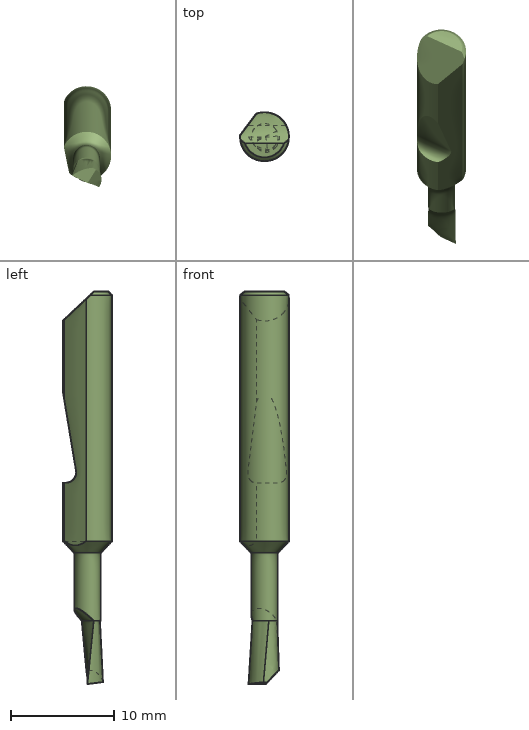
import cadquery as cq
import math

length = 38.1
shank_diameter = 4.75
shank_radius = shank_diameter / 2
shank_bottom = 13.85
end_chamfer = 0.4
neck_radius = 1.3
neck_top = 12.73
neck_bottom = 6.17

flat_angle = 143.0
flat_distance = 2.0

slope_start_y = -0.65
slope_drop = 2.85

notch_top = 28.27
notch_floor = 19.55
notch_depth = 1.45
notch_corner_radius = 1.0

step_turn = 26.0
step_lean = 43.0

tip_top_corners = [(-1.2, -0.6), (0.42, -1.22), (1.15, 0.57)]
tip_bottom_corners = [(-1.55, 0.0), (-0.1, -1.52), (1.5, 0.0)]
flank_bulge = 0.15
tip_back_radius_bottom = 1.52
heel_corner_x = 0.1
heel_corner_height = 1.45
end_relief = 0.2

cutter_size = 15.25


def make_body():
    """Chamfered shank, cone and neck as one revolved profile."""
    profile = [
        (0, neck_bottom),
        (neck_radius, neck_bottom),
        (neck_radius, neck_top),
        (shank_radius, shank_bottom),
        (shank_radius, length - end_chamfer),
        (shank_radius - end_chamfer, length),
        (0, length),
    ]
    return cq.Workplane("XZ").polyline(profile).close().revolve(360, (0, 0), (0, 1))


def through_x(points):
    """Extrude a closed YZ outline through the whole part along X."""
    return cq.Workplane("YZ").polyline(points).close().extrude(cutter_size / 2, both=True)


def flat_cutter():
    block = cq.Workplane("XY").box(cutter_size, cutter_size, length, centered=(False, True, False))
    block = block.translate((flat_distance, 0, neck_top))
    return block.rotate((0, 0, 0), (0, 0, 1), flat_angle)


def slope_cutter():
    return through_x([
        (slope_start_y, length),
        (shank_radius, length - slope_drop),
        (shank_radius, length),
    ])


def notch_cutter():
    ramp_foot_y = shank_radius - notch_depth
    open_y = 2 * shank_radius
    notch = through_x([
        (shank_radius, notch_top),
        (ramp_foot_y, notch_floor),
        (open_y, notch_floor),
        (open_y, notch_top),
    ])
    return notch.edges("|X").edges("<Y").fillet(notch_corner_radius)


def step_cutter():
    """Leaning face that runs out at the top of the rake face."""
    block = cq.Workplane("XY").box(cutter_size, cutter_size, cutter_size, centered=(True, True, False))
    block = block.translate((0, 0, -cutter_size))
    block = block.rotate((0, 0, 0), (1, 0, 0), step_lean)
    block = block.rotate((0, 0, 0), (0, 0, 1), step_turn)
    return block.translate((0, 0, neck_bottom))


def tip_section(plane, corners, back_radius):
    """Straight rake edge, slightly bulged flank and round back."""
    cutting, flank_end, heel = corners
    chord_x = flank_end[0] - cutting[0]
    chord_y = flank_end[1] - cutting[1]
    chord = math.hypot(chord_x, chord_y)
    flank_middle = (
        (cutting[0] + flank_end[0]) / 2 + flank_bulge * chord_y / chord,
        (cutting[1] + flank_end[1]) / 2 - flank_bulge * chord_x / chord,
    )
    start_angle = math.atan2(flank_end[1], flank_end[0])
    end_angle = math.atan2(heel[1], heel[0])
    middle_angle = (start_angle + end_angle) / 2
    back_middle = (back_radius * math.cos(middle_angle), back_radius * math.sin(middle_angle))
    outline = plane.moveTo(*cutting).threePointArc(flank_middle, flank_end)
    return outline.threePointArc(back_middle, heel).close()


def make_tip():
    """Twisted half-round tip with a bevelled heel and a relieved end face."""
    bottom = tip_section(cq.Workplane("XY"), tip_bottom_corners, tip_back_radius_bottom)
    top_plane = bottom.workplane(offset=neck_bottom)
    tip = tip_section(top_plane, tip_top_corners, neck_radius).loft(ruled=True)
    heel_x = tip_bottom_corners[2][0]
    outer_x = 2 * heel_x - heel_corner_x
    heel = (
        cq.Workplane("XZ")
        .polyline([(heel_corner_x, 0), (outer_x, 2 * heel_corner_height), (outer_x, 0)])
        .close()
        .extrude(cutter_size / 2, both=True)
    )
    relief_y = 2 * tip_back_radius_bottom
    relief = through_x([(0, 0), (-relief_y, 2 * end_relief), (-relief_y, 0)])
    return tip.cut(heel).cut(relief)


body = make_body().cut(flat_cutter()).cut(slope_cutter()).cut(notch_cutter()).cut(step_cutter())
result = body.union(make_tip())